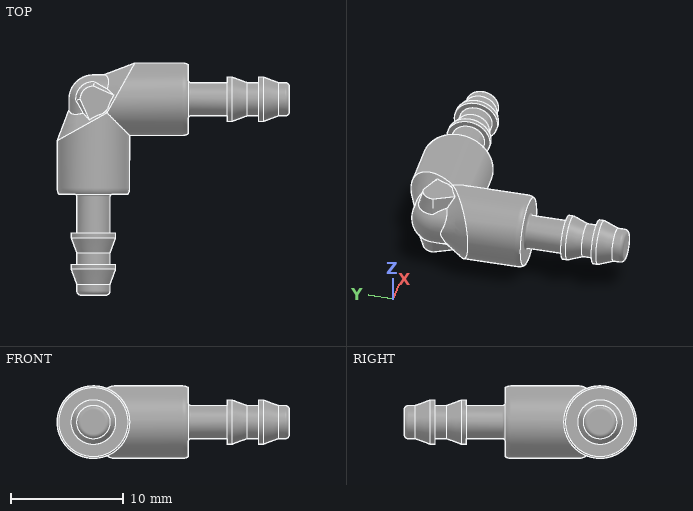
import cadquery as cq
import math

overall = 20.75
body_radius = 3.247
leg_length = overall - body_radius

body_end = 8.49
end_round_length = 0.52
end_round_depth = 0.17

neck_radius = 1.5
neck_fillet = 0.2
barb_radius = 2.0
barb_starts = (11.93, 14.73)
barb_land = 0.44
barb_length = 1.78
tip_fillet = 0.4

shoulder_angle = 60.8
shoulder_center = 1.89
shoulder_depth = 1.97
shoulder_taper = 50.0

core_radius = 2.2
core_length = 2.7
pad_height = 2.97
pad_depth = 1.93
pad_radius = 1.18
pad_draft = 15.5
pad_flare = 24.2
pad_side_run = 2.28


def make_sleeve():
    """Solid stub with a round end, cut by the shoulder plane and capped by its taper."""
    profile = (
        cq.Workplane("XY")
        .moveTo(-body_radius, 0)
        .lineTo(-body_radius, body_radius)
        .lineTo(body_end - end_round_length, body_radius)
        .tangentArcPoint((body_end, body_radius - end_round_depth), relative=False)
        .lineTo(body_end, 0)
        .close()
    )
    stub = profile.revolve(360, (0, 0, 0), (1, 0, 0))

    angle = math.radians(shoulder_angle)
    plane = cq.Plane(
        origin=(shoulder_center, 0, 0),
        xDir=(math.cos(angle), math.sin(angle), 0),
        normal=(-math.sin(angle), math.cos(angle), 0),
    )
    cutter_size = 2 * overall
    cutter = cq.Workplane(plane).rect(cutter_size, cutter_size).extrude(cutter_size)
    shoulder = (
        cq.Workplane(plane)
        .ellipse(body_radius / math.sin(angle), body_radius)
        .extrude(shoulder_depth, taper=shoulder_taper)
    )
    return stub.cut(cutter).union(shoulder)


def make_barb():
    """Revolved hose stem with a root fillet, two barbs and a rounded tip."""
    profile = (
        cq.Workplane("XY")
        .moveTo(body_end - neck_fillet, 0)
        .lineTo(body_end - neck_fillet, neck_radius + neck_fillet)
        .lineTo(body_end, neck_radius + neck_fillet)
        .radiusArc((body_end + neck_fillet, neck_radius), -neck_fillet)
    )
    for start in barb_starts:
        profile = (
            profile.lineTo(start, neck_radius)
            .lineTo(start, barb_radius)
            .lineTo(start + barb_land, barb_radius)
            .lineTo(start + barb_length, neck_radius)
        )
    profile = (
        profile.lineTo(leg_length - tip_fillet, neck_radius)
        .tangentArcPoint((leg_length, neck_radius - tip_fillet), relative=False)
        .lineTo(leg_length, 0)
        .close()
    )
    return profile.revolve(360, (0, 0, 0), (1, 0, 0))


def make_pad():
    """Upper pad: rounded corner with flaring sides, widening downward by the draft."""
    side_end = pad_radius - pad_side_run * math.tan(math.radians(pad_flare))
    arc_middle = pad_radius * math.sqrt(0.5)
    return (
        cq.Workplane("XY")
        .workplane(offset=pad_height)
        .moveTo(-pad_radius, 0)
        .threePointArc((-arc_middle, arc_middle), (0, pad_radius))
        .lineTo(pad_side_run, side_end)
        .lineTo(-side_end, -pad_side_run)
        .close()
        .extrude(-pad_depth, taper=-pad_draft)
    )


def mirror_leg(shape):
    """Swap the +X leg for the -Y leg by reflecting across the plane y = -x."""
    return shape.mirror("XZ").rotate((0, 0, 0), (0, 0, 1), -90)


core = cq.Workplane("YZ").circle(core_radius).extrude(core_length)
leg = make_sleeve().union(core).union(make_barb())
pad = make_pad()

result = (
    leg.union(mirror_leg(leg))
    .union(cq.Workplane("XY").sphere(core_radius))
    .union(pad)
    .union(pad.mirror("XY"))
)